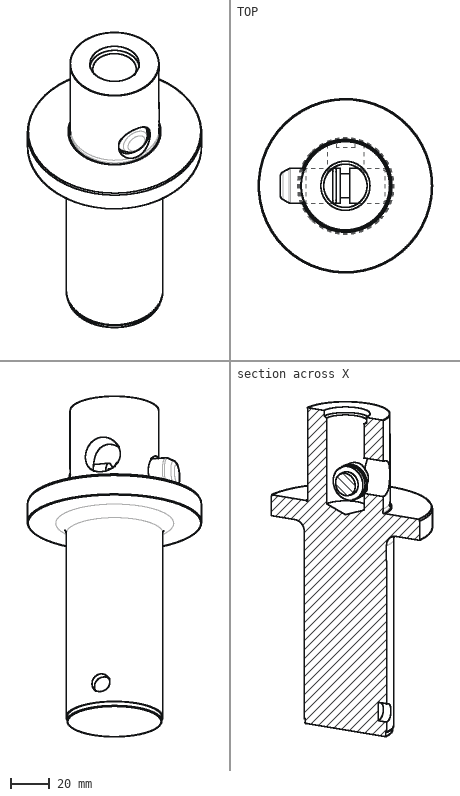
import cadquery as cq
import math

shank_length = 108.5
flange_thickness = 11.5
spigot_length = 50.0
flange_top = shank_length + flange_thickness
total_height = flange_top + spigot_length

shank_radius = 25.0
flange_radius = 45.0
spigot_radius = 23.0

shank_fillet = 5.5
flange_top_chamfer_width = 0.5
flange_top_chamfer_height = 1.0
flange_bottom_chamfer = 0.4
shank_end_step = 0.5
shank_end_step_length = 2.5
shank_end_chamfer = 0.4
spigot_edge_chamfer = 0.2

relief_height = 2.5
relief_depth = 0.2
relief_face_depth = 0.2
relief_outer_radius = 24.0
relief_corner = 0.6

bore_radius = 11.2
bore_bottom = flange_top
mouth_cone_angle = 120.0
bore_tip_angle = 140.0
mouth_radius = 12.7
mouth_depth = 3.0

pin_radius = 9.0
pin_height = 132.0
pin_left = -33.6
pin_right = spigot_radius
pin_flat_radius = 6.4
pin_cone_length = 4.7
pin_tip_fillet = 2.4
pin_shoulder_fillet = 2.0
waist_radius = 6.1
waist_left = -2.6
waist_right = 2.2
collar_margin = 1.0
pin_hole_mouth_radius = 10.5
pin_hole_mouth_angle = 60.0

ring_groove_center = -5.65
ring_groove_width = 2.0
ring_section_radius = 0.95
ring_groove_radius = 7.3

side_hole_radius = 9.4
side_hole_height = 138.4
pilot_radius = 4.8
pilot_height = 13.0
pilot_depth = 5.0


def cone_height(wide, narrow, angle):
    """Height of a cone of the given full angle between two radii."""
    return (wide - narrow) / math.tan(math.radians(angle / 2))


def holder_blank():
    """Shank, flange and spigot turned about Z."""
    end_radius = shank_radius - shank_end_step
    relief_radius = spigot_radius - relief_depth
    relief_floor = flange_top - relief_face_depth
    arc_offset = shank_fillet * (1 - math.sqrt(0.5))
    relief_offset = relief_corner * (1 - math.sqrt(0.5))
    return (
        cq.Workplane("XZ")
        .moveTo(0, 0)
        .lineTo(end_radius - shank_end_chamfer, 0)
        .lineTo(end_radius, shank_end_chamfer)
        .lineTo(end_radius, shank_end_step_length)
        .lineTo(shank_radius, shank_end_step_length)
        .lineTo(shank_radius, shank_length - shank_fillet)
        .threePointArc(
            (shank_radius + arc_offset, shank_length - arc_offset),
            (shank_radius + shank_fillet, shank_length),
        )
        .lineTo(flange_radius - flange_bottom_chamfer, shank_length)
        .lineTo(flange_radius, shank_length + flange_bottom_chamfer)
        .lineTo(flange_radius, flange_top - flange_top_chamfer_height)
        .lineTo(flange_radius - flange_top_chamfer_width, flange_top)
        .lineTo(relief_outer_radius, flange_top)
        .lineTo(relief_radius + relief_corner, relief_floor)
        .threePointArc(
            (relief_radius + relief_offset, relief_floor + relief_offset),
            (relief_radius, relief_floor + relief_corner),
        )
        .lineTo(spigot_radius, flange_top + relief_height)
        .lineTo(spigot_radius, total_height - spigot_edge_chamfer)
        .lineTo(spigot_radius - spigot_edge_chamfer, total_height)
        .lineTo(0, total_height)
        .close()
        .revolve(360, (0, 0, 0), (0, 1, 0))
    )


def bore_cutter():
    """Blind bore with a drill-point floor and a wider mouth."""
    mouth_floor = total_height - mouth_depth
    mouth_cone = cone_height(mouth_radius, bore_radius, mouth_cone_angle)
    tip_cone = cone_height(bore_radius, 0, bore_tip_angle)
    return (
        cq.Workplane("XZ")
        .moveTo(0, bore_bottom - tip_cone)
        .lineTo(bore_radius, bore_bottom)
        .lineTo(bore_radius, mouth_floor - mouth_cone)
        .lineTo(mouth_radius, mouth_floor)
        .lineTo(mouth_radius, total_height)
        .lineTo(0, total_height)
        .close()
        .revolve(360, (0, 0, 0), (0, 1, 0))
    )


def pin_hole_cutter():
    """Hole across the spigot along X, countersunk at both ends."""
    countersink = cone_height(pin_hole_mouth_radius, pin_radius, pin_hole_mouth_angle)
    return (
        cq.Workplane("XY")
        .moveTo(-spigot_radius, 0)
        .lineTo(-spigot_radius, pin_hole_mouth_radius)
        .lineTo(-spigot_radius + countersink, pin_radius)
        .lineTo(spigot_radius - countersink, pin_radius)
        .lineTo(spigot_radius, pin_hole_mouth_radius)
        .lineTo(spigot_radius, 0)
        .close()
        .revolve(360, (0, 0, 0), (1, 0, 0))
        .translate((0, 0, pin_height))
    )


def y_hole_cutter(radius, height, start, end):
    """Round hole along Y between two Y positions."""
    return (
        cq.Workplane("XZ", origin=(0, end, height))
        .circle(radius)
        .extrude(end - start)
    )


def make_holder():
    side_hole = y_hole_cutter(side_hole_radius, side_hole_height, 0, spigot_radius)
    pilot_hole = y_hole_cutter(pilot_radius, pilot_height, shank_radius - pilot_depth, shank_radius)
    return (
        holder_blank()
        .cut(bore_cutter())
        .cut(pin_hole_cutter())
        .cut(side_hole)
        .cut(pilot_hole)
    )


def collar(left, right, inner_radius):
    """Sleeve around the pin axis that cuts the pin down to a radius."""
    return (
        cq.Workplane("YZ", origin=(left, 0, pin_height))
        .circle(pin_radius + collar_margin)
        .circle(inner_radius)
        .extrude(right - left)
    )


def make_pin():
    """Pin with a rounded cone at each end, a waist and a ring groove."""
    pin = (
        cq.Workplane("XY")
        .moveTo(pin_left, 0)
        .lineTo(pin_left, pin_flat_radius)
        .lineTo(pin_left + pin_cone_length, pin_radius)
        .lineTo(pin_right - pin_cone_length, pin_radius)
        .lineTo(pin_right, pin_flat_radius)
        .lineTo(pin_right, 0)
        .close()
        .revolve(360, (0, 0, 0), (1, 0, 0))
        .translate((0, 0, pin_height))
    )
    for end_faces in ("<X", ">X"):
        pin = pin.faces(end_faces).edges().fillet(pin_tip_fillet)
    shoulders = pin.edges(cq.selectors.RadiusNthSelector(-1))
    pin = shoulders.fillet(pin_shoulder_fillet)
    groove_left = ring_groove_center - ring_groove_width / 2
    groove_right = ring_groove_center + ring_groove_width / 2
    pin = pin.cut(collar(groove_left, groove_right, ring_groove_radius))
    return pin.cut(collar(waist_left, waist_right, waist_radius))


def make_seal_ring():
    """Round-section ring seated on the groove floor."""
    section_center = ring_groove_radius + ring_section_radius
    ring = cq.Solid.makeTorus(
        section_center,
        ring_section_radius,
        cq.Vector(ring_groove_center, 0, pin_height),
        cq.Vector(1, 0, 0),
    )
    return cq.Workplane(ring)


holder = make_holder()
pin = make_pin()
seal_ring = make_seal_ring()

result = cq.Compound.makeCompound([holder.val(), pin.val(), seal_ring.val()])